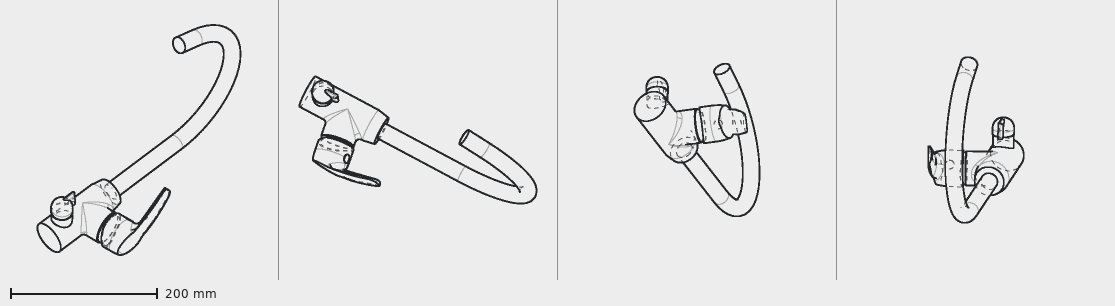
import cadquery as cq
import math


BODY_RADIUS = 23.5
BODY_LENGTH = 98.0
COLLAR_TOP_RADIUS = 20.5
COLLAR_LENGTH = 17.0

SPOUT_RADIUS = 11.6
SPOUT_BEND_START = 239.2
SPOUT_OVERALL_REACH = 354.8
SPOUT_BEND_RADIUS = SPOUT_OVERALL_REACH - SPOUT_BEND_START - SPOUT_RADIUS
SPOUT_OUTLET_RISE = 20.0
SPOUT_OUTLET_LENGTH = 33.3

BRANCH_RADIUS = 23.5
BRANCH_Y = 62.0
BRANCH_TILT = 10.0
BRANCH_END = 43.2
BRANCH_CHAMFER = 0.8
BRANCH_BLEND = 6.0
NECK_RADIUS = 22.2
NECK_OVERLAP = 2.0

HANDLE_TURN = 31.5
HANDLE_STOCK_END = 98.0
HANDLE_OUTER_BULGE = (89.0, 32.0)
HANDLE_OUTER_TIP = 91.5
CAP_RADIUS = 24.9
CAP_START = 46.3
CAP_RELIEF = 0.0
CAP_REAR_START = 52.0
CAP_REAR_END = 78.0
CAP_REAR_ROUND = 5.0
CAP_BARREL_START = 64.0
CAP_BARREL_ROUND = 80.0
MARKER_RADIUS = 6.0
MARKER_POSITION = 64.5
MARKER_RISE = 0.1

LEVER_TIP = 86.8
LEVER_PARALLEL_END = 35.0
LEVER_ROOT_HALF_WIDTH = 17.2
LEVER_TIP_HALF_WIDTH = 12.5
LEVER_TIP_ROUND = 9.0
LEVER_INNER_ROOT = 79.0
LEVER_INNER_TIP = 87.0
LEVER_CROWN_RADIUS = 28.0
LEVER_BLEND = 9.0
GRIP_WIDTH = 9.0
GRIP_START = 36.0
GRIP_END = 77.0

VALVE_Y = 24.0
VALVE_STEM_RADIUS = 14.4
VALVE_CAP_RADIUS = 15.0
VALVE_CAP_BASE = 37.6
VALVE_DOME_CENTRE = 45.7
FIN_WIDTH = 6.0
FIN_DROP = 0.3
FIN_TOP = VALVE_DOME_CENTRE + VALVE_CAP_RADIUS - FIN_DROP
FIN_TOP_REACH = 22.7
FIN_BASE_REACH = 23.7
FIN_ROUND = 2.9


def make_body():
    """Cylindrical body with the tapered collar, revolved about the Y axis."""
    collar_top = BODY_LENGTH + COLLAR_LENGTH
    outline = (
        cq.Workplane("XY")
        .moveTo(0, 0)
        .lineTo(BODY_RADIUS, 0)
        .lineTo(BODY_RADIUS, BODY_LENGTH)
        .lineTo(COLLAR_TOP_RADIUS, collar_top)
        .lineTo(0, collar_top)
        .close()
    )
    return outline.revolve(360, (0, 0, 0), (0, 1, 0))


def make_spout():
    """Round tube: straight, bent upwards and back, then a straight outlet."""
    start = BODY_LENGTH
    turn = math.radians(180 - SPOUT_OUTLET_RISE)
    rise = math.radians(SPOUT_OUTLET_RISE)

    def bend_point(angle):
        y = SPOUT_BEND_START + SPOUT_BEND_RADIUS * math.sin(angle)
        z = SPOUT_BEND_RADIUS * (1 - math.cos(angle))
        return y, z

    bend_end = bend_point(turn)
    outlet = (
        bend_end[0] - SPOUT_OUTLET_LENGTH * math.cos(rise),
        bend_end[1] + SPOUT_OUTLET_LENGTH * math.sin(rise),
    )
    path = (
        cq.Workplane("YZ")
        .moveTo(start, 0)
        .lineTo(SPOUT_BEND_START, 0)
        .threePointArc(bend_point(turn / 2), bend_end)
        .lineTo(*outlet)
    )
    section = cq.Workplane("XZ", origin=(0, start, 0)).circle(SPOUT_RADIUS)
    return section.sweep(path)


def handle_axis():
    """Unit vector out along the branch and handle."""
    tilt = math.radians(BRANCH_TILT)
    return cq.Vector(math.cos(tilt), math.sin(tilt), 0)


def lever_direction():
    """Unit vector along the lever, square to the handle axis."""
    tilt = math.radians(BRANCH_TILT)
    turn = math.radians(HANDLE_TURN)
    return cq.Vector(
        -math.sin(tilt) * math.cos(turn), math.cos(tilt) * math.cos(turn), math.sin(turn)
    )


def across_branch():
    """Workplane across the branch axis, its local X along the lever."""
    return cq.Workplane(cq.Plane((0, BRANCH_Y, 0), lever_direction(), handle_axis()))


def side_plane():
    """Plane holding the branch axis (local X) and the lever (local Y)."""
    axis = handle_axis()
    return cq.Plane((0, BRANCH_Y, 0), axis, axis.cross(lever_direction()))


def make_branch():
    """Side branch with its outer rim chamfered."""
    branch = across_branch().circle(BRANCH_RADIUS).extrude(BRANCH_END)
    return branch.faces(cq.selectors.DirectionMinMaxSelector(handle_axis())).chamfer(BRANCH_CHAMFER)


def make_branched_body():
    """Body and branch, with their saddle-shaped corner blended."""
    joined = make_body().union(make_branch())
    saddle = joined.edges().filter(lambda edge: edge.geomType() not in ("LINE", "CIRCLE"))
    return saddle.fillet(BRANCH_BLEND)


def make_neck():
    """Narrower neck that shows in the gap between branch and cap."""
    return across_branch().circle(NECK_RADIUS).extrude(CAP_REAR_START + NECK_OVERLAP)


def lever_crown_frame():
    """Start of the lever's inner crown line, the direction along it and the one into the lever."""
    slope = (LEVER_INNER_TIP - LEVER_INNER_ROOT) / LEVER_TIP
    along = (lever_direction() + handle_axis() * slope).normalized()
    inward = along.cross(side_plane().zDir)
    root = side_plane().toWorldCoords((LEVER_INNER_ROOT, 0, 0))
    return root, along, inward


def make_lever_bar():
    """Tapered lever with a crowned inner face, left overlong towards the handle's outer end."""
    bar = (
        across_branch()
        .moveTo(0, -LEVER_ROOT_HALF_WIDTH)
        .lineTo(LEVER_PARALLEL_END, -LEVER_ROOT_HALF_WIDTH)
        .lineTo(LEVER_TIP, -LEVER_TIP_HALF_WIDTH)
        .lineTo(LEVER_TIP, LEVER_TIP_HALF_WIDTH)
        .lineTo(LEVER_PARALLEL_END, LEVER_ROOT_HALF_WIDTH)
        .lineTo(0, LEVER_ROOT_HALF_WIDTH)
        .close()
        .extrude(HANDLE_STOCK_END)
    )
    tip_face = cq.selectors.DirectionMinMaxSelector(lever_direction())
    upright = cq.selectors.ParallelDirSelector(handle_axis())
    bar = bar.faces(tip_face).edges(upright).fillet(LEVER_TIP_ROUND)

    root, along, inward = lever_crown_frame()
    crown_start = root + inward * LEVER_CROWN_RADIUS - along * CAP_RADIUS
    crown = (
        cq.Workplane(cq.Plane(crown_start, inward, along))
        .circle(LEVER_CROWN_RADIUS)
        .extrude(LEVER_TIP + 2 * CAP_RADIUS)
    )
    return bar.intersect(crown)


def make_grip_cutter():
    """Slot-shaped cutter that shaves the crown of the lever down to a flat patch."""
    root, along, inward = lever_crown_frame()
    depth = LEVER_CROWN_RADIUS - math.sqrt(LEVER_CROWN_RADIUS**2 - (GRIP_WIDTH / 2) ** 2)
    centre = root + along * ((GRIP_START + GRIP_END) / 2) + inward * depth
    return (
        cq.Workplane(cq.Plane(centre, along, inward * -1))
        .slot2D(GRIP_END - GRIP_START, GRIP_WIDTH)
        .extrude(CAP_RADIUS)
    )


def make_cap_barrel():
    """Round cap, straight at first and then curving inwards, revolved about the branch axis."""
    barrel_length = HANDLE_STOCK_END - CAP_BARREL_START

    def barrel_radius(distance):
        return CAP_RADIUS - CAP_BARREL_ROUND + math.sqrt(CAP_BARREL_ROUND**2 - distance**2)

    outline = (
        cq.Workplane(side_plane())
        .lineTo(0, CAP_RADIUS)
        .lineTo(CAP_BARREL_START, CAP_RADIUS)
        .threePointArc(
            (CAP_BARREL_START + barrel_length / 2, barrel_radius(barrel_length / 2)),
            (HANDLE_STOCK_END, barrel_radius(barrel_length)),
        )
        .lineTo(HANDLE_STOCK_END, 0)
        .close()
    )
    return outline.revolve(360, (0, 0, 0), (1, 0, 0))


def is_lever_corner(edge):
    """True for the hollow corner where the lever bar grows out of the round cap."""
    middle = side_plane().toLocalCoords(edge.positionAt(0.5))
    within_cap = math.hypot(middle.y, middle.z) < CAP_RADIUS
    along_lever_root = LEVER_INNER_ROOT < middle.x < HANDLE_STOCK_END
    return within_cap and along_lever_root and middle.y > 0


def make_handle():
    """Cap blended into the lever, then cut to the relieved rear and the bulging outer end."""
    handle = make_cap_barrel().union(make_lever_bar())
    inner_corner = handle.edges().filter(is_lever_corner)
    profile = (
        cq.Workplane(side_plane())
        .moveTo(CAP_REAR_START, -CAP_RADIUS)
        .lineTo(CAP_REAR_END - CAP_REAR_ROUND, -CAP_RADIUS)
        .tangentArcPoint((CAP_REAR_END, CAP_REAR_ROUND - CAP_RADIUS), relative=False)
        .threePointArc(HANDLE_OUTER_BULGE, (HANDLE_OUTER_TIP, LEVER_TIP))
        .lineTo(CAP_START, LEVER_TIP)
        .lineTo(CAP_START, CAP_RELIEF)
        .close()
        .extrude(CAP_RADIUS, both=True)
    )
    return inner_corner.fillet(LEVER_BLEND).intersect(profile).cut(make_grip_cutter())


def make_marker():
    """Flat round temperature marker on the lever side of the cap."""
    centre = cq.Vector(0, BRANCH_Y, 0) + handle_axis() * MARKER_POSITION
    plane = cq.Plane(centre, handle_axis(), lever_direction())
    return cq.Workplane(plane).circle(MARKER_RADIUS).extrude(CAP_RADIUS + MARKER_RISE)


def make_valve():
    """Shut-off valve: stem, domed cap and a rounded turning fin pointing along +Y."""
    stem = cq.Workplane("XY", origin=(0, VALVE_Y, 0)).circle(VALVE_STEM_RADIUS).extrude(VALVE_DOME_CENTRE)
    cap = (
        cq.Workplane("XY", origin=(0, VALVE_Y, VALVE_CAP_BASE))
        .circle(VALVE_CAP_RADIUS)
        .extrude(VALVE_DOME_CENTRE - VALVE_CAP_BASE)
    )
    dome = cq.Workplane("XY", origin=(0, VALVE_Y, VALVE_DOME_CENTRE)).sphere(VALVE_CAP_RADIUS)
    fin = (
        cq.Workplane("YZ", origin=(0, VALVE_Y, 0))
        .moveTo(0, VALVE_CAP_BASE)
        .lineTo(FIN_BASE_REACH, VALVE_CAP_BASE)
        .lineTo(FIN_TOP_REACH, FIN_TOP)
        .lineTo(0, FIN_TOP)
        .close()
        .extrude(FIN_WIDTH / 2, both=True)
    )
    fin = fin.edges("(<X or >X) and (not <Z) and (not <Y)").fillet(FIN_ROUND)
    return stem.union(cap).union(dome).union(fin)


result = make_branched_body()
for piece in (make_neck(), make_handle(), make_marker(), make_spout(), make_valve()):
    result = result.union(piece)